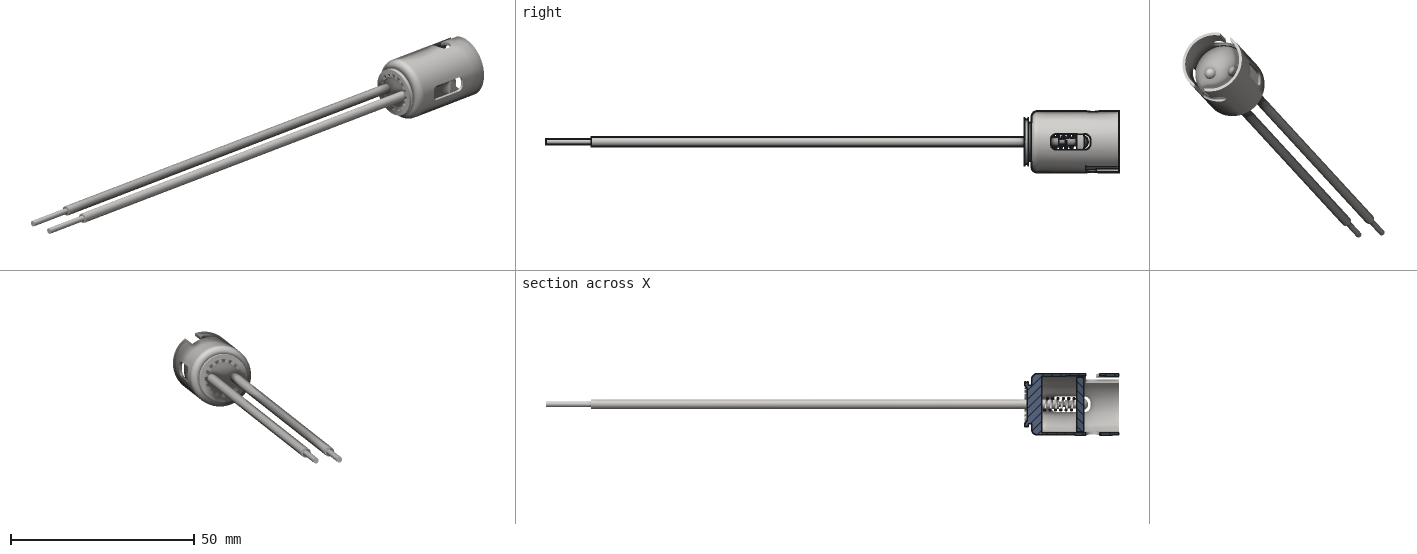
import cadquery as cq
import math

OVERALL_LENGTH = 156.5

HOUSING_RADIUS = 8.5
BORE_RADIUS = 7.7
BORE_DEPTH = 21.0
BASE_DEPTH = 24.0
BASE_FILLET = 1.7

NECK_RADIUS = 5.3
FLANGE_RADIUS = 6.5
FLANGE_GROOVE_RADIUS = 6.1
FLANGE_FRONT_DEPTH = 24.7
FLANGE_BACK_DEPTH = 25.8

RECESS_FLOOR_RADIUS = 4.4
RECESS_MOUTH_RADIUS = 5.3
RECESS_DEPTH = 0.6
RIB_COUNT = 16
RIB_WIDTH = 1.0

PIN_HOLE_RADIUS = 1.9
PIN_HOLE_DEPTH = 7.2
BAYONET_WIDTH = 2.8
BAYONET_OFFSET = 3.6
BAYONET_FOOT_DEPTH = PIN_HOLE_DEPTH + PIN_HOLE_RADIUS

WINDOW_START_DEPTH = 7.8
WINDOW_END_DEPTH = 18.6
WINDOW_HEIGHT = 4.2
WINDOW_CORNER_RADIUS = 1.5

WIRE_OFFSET = 3.3
JACKET_RADIUS = 1.33
JACKET_START_DEPTH = 16.5
STRAND_RADIUS = 0.8
STRAND_TAIL = 12.4

CARRIER_RADIUS = 7.5
CARRIER_FRONT_DEPTH = 9.5
CARRIER_BACK_DEPTH = 11.6

DOME_RADIUS = 1.5
DOME_HEIGHT = 1.1
SLEEVE_RADIUS = 1.1
SLEEVE_END_DEPTH = 14.7
FLARE_RADIUS = 1.3
FLARE_LENGTH = 0.5
SOCKET_DEPTH = 11.7

SPRING_RADIUS = 1.5
SPRING_WIRE_RADIUS = 0.3
SPRING_TURNS = 6


def cylinder(radius, start_depth, end_depth, x=0.0):
    """Solid cylinder parallel to Y between two depths."""
    length = end_depth - start_depth
    start = cq.Vector(x, -start_depth, 0)
    return cq.Workplane(cq.Solid.makeCylinder(radius, length, start, cq.Vector(0, -1, 0)))


def bayonet_cutter():
    """J-shaped slot in the top wall: entry slot, foot and round pin seat."""
    entry = cq.Workplane().box(
        BAYONET_WIDTH, BAYONET_FOOT_DEPTH, HOUSING_RADIUS, centered=(True, False, False)
    ).translate((-BAYONET_OFFSET, -BAYONET_FOOT_DEPTH, 0))
    foot = cq.Workplane().box(
        BAYONET_OFFSET, BAYONET_WIDTH, HOUSING_RADIUS, centered=False
    ).translate((-BAYONET_OFFSET, -BAYONET_FOOT_DEPTH, 0))
    seat = cq.Workplane().center(0, -PIN_HOLE_DEPTH).circle(PIN_HOLE_RADIUS).extrude(HOUSING_RADIUS)
    return entry.union(foot).union(seat)


def window_cutter():
    """Rounded rectangle running right through both side walls."""
    length = WINDOW_END_DEPTH - WINDOW_START_DEPTH
    middle_depth = (WINDOW_START_DEPTH + WINDOW_END_DEPTH) / 2
    bar = cq.Workplane().box(2 * HOUSING_RADIUS, length, WINDOW_HEIGHT)
    return bar.edges("|X").fillet(WINDOW_CORNER_RADIUS).translate((0, -middle_depth, 0))


def recess_cutter():
    """Tapered round recess, less the ribs that stand on its wall."""
    floor_depth = FLANGE_BACK_DEPTH - RECESS_DEPTH
    cutter = cq.Workplane(cq.Solid.makeCone(
        RECESS_FLOOR_RADIUS, RECESS_MOUTH_RADIUS, RECESS_DEPTH,
        cq.Vector(0, -floor_depth, 0), cq.Vector(0, -1, 0),
    ))
    rib_length = RECESS_MOUTH_RADIUS - RECESS_FLOOR_RADIUS
    rib = cq.Workplane().box(
        rib_length, RECESS_DEPTH, RIB_WIDTH, centered=(False, False, True)
    ).translate((RECESS_FLOOR_RADIUS, -FLANGE_BACK_DEPTH, 0))
    for index in range(RIB_COUNT):
        angle = (index + 0.5) * 360 / RIB_COUNT
        cutter = cutter.cut(rib.rotate((0, 0, 0), (0, 1, 0), angle))
    return cutter


def make_housing():
    groove_bottom = (FLANGE_GROOVE_RADIUS, -(FLANGE_FRONT_DEPTH + FLANGE_BACK_DEPTH) / 2)
    fillet_start_depth = BASE_DEPTH - BASE_FILLET
    fillet_middle = (
        HOUSING_RADIUS - BASE_FILLET * (1 - math.sqrt(0.5)),
        -(fillet_start_depth + BASE_FILLET * math.sqrt(0.5)),
    )
    housing = (
        cq.Workplane()
        .moveTo(0, -BORE_DEPTH)
        .lineTo(BORE_RADIUS, -BORE_DEPTH)
        .lineTo(BORE_RADIUS, 0)
        .lineTo(HOUSING_RADIUS, 0)
        .lineTo(HOUSING_RADIUS, -fillet_start_depth)
        .threePointArc(fillet_middle, (HOUSING_RADIUS - BASE_FILLET, -BASE_DEPTH))
        .lineTo(NECK_RADIUS, -BASE_DEPTH)
        .lineTo(NECK_RADIUS, -FLANGE_FRONT_DEPTH)
        .lineTo(FLANGE_RADIUS, -FLANGE_FRONT_DEPTH)
        .threePointArc(groove_bottom, (FLANGE_RADIUS, -FLANGE_BACK_DEPTH))
        .lineTo(0, -FLANGE_BACK_DEPTH)
        .close()
        .revolve(360, (0, 0, 0), (0, 1, 0))
    )
    slot = bayonet_cutter()
    housing = housing.cut(slot).cut(slot.rotate((0, 0, 0), (0, 1, 0), 180))
    housing = housing.cut(window_cutter()).cut(recess_cutter())
    for x in (-WIRE_OFFSET, WIRE_OFFSET):
        housing = housing.cut(cylinder(JACKET_RADIUS, BORE_DEPTH, FLANGE_BACK_DEPTH, x))
    return housing


def make_carrier():
    """Insulating disc that slides in the bore and holds both contacts."""
    carrier = cylinder(CARRIER_RADIUS, CARRIER_FRONT_DEPTH, CARRIER_BACK_DEPTH)
    for x in (-WIRE_OFFSET, WIRE_OFFSET):
        carrier = carrier.cut(cylinder(SLEEVE_RADIUS, CARRIER_FRONT_DEPTH, CARRIER_BACK_DEPTH, x))
    return carrier


def make_contact(x):
    """Domed head, sleeve through the carrier and flared end with a socket for the strand."""
    tip_depth = CARRIER_FRONT_DEPTH - DOME_HEIGHT
    flare_start_depth = SLEEVE_END_DEPTH - FLARE_LENGTH
    dome_sphere_radius = (DOME_RADIUS ** 2 + DOME_HEIGHT ** 2) / (2 * DOME_HEIGHT)
    half_angle = math.asin(DOME_RADIUS / dome_sphere_radius) / 2
    dome_middle = (
        dome_sphere_radius * math.sin(half_angle),
        -tip_depth - dome_sphere_radius * (1 - math.cos(half_angle)),
    )
    contact = (
        cq.Workplane()
        .moveTo(0, -tip_depth)
        .threePointArc(dome_middle, (DOME_RADIUS, -CARRIER_FRONT_DEPTH))
        .lineTo(SLEEVE_RADIUS, -CARRIER_FRONT_DEPTH)
        .lineTo(SLEEVE_RADIUS, -flare_start_depth)
        .lineTo(FLARE_RADIUS, -SLEEVE_END_DEPTH)
        .lineTo(STRAND_RADIUS, -SLEEVE_END_DEPTH)
        .lineTo(STRAND_RADIUS, -SOCKET_DEPTH)
        .lineTo(0, -SOCKET_DEPTH)
        .close()
        .revolve(360, (0, 0, 0), (0, 1, 0))
    )
    return contact.translate((x, 0, 0))


def make_wire(x):
    """Jacketed wire with bare strand at both ends."""
    jacket = cylinder(JACKET_RADIUS, JACKET_START_DEPTH, OVERALL_LENGTH - STRAND_TAIL, x)
    strand = cylinder(STRAND_RADIUS, SOCKET_DEPTH, OVERALL_LENGTH, x)
    return jacket.union(strand)


def make_spring():
    """Round-wire compression spring on the axis between carrier and housing floor."""
    start_depth = CARRIER_BACK_DEPTH + SPRING_WIRE_RADIUS
    length = BORE_DEPTH - SPRING_WIRE_RADIUS - start_depth
    path = cq.Wire.makeHelix(length / SPRING_TURNS, length, SPRING_RADIUS)
    spring = (
        cq.Workplane("XZ")
        .center(SPRING_RADIUS, 0)
        .circle(SPRING_WIRE_RADIUS)
        .sweep(cq.Workplane(path), isFrenet=True)
    )
    return spring.rotate((0, 0, 0), (1, 0, 0), 90).translate((0, -start_depth, 0))


housing = make_housing()
carrier = make_carrier()
spring = make_spring()
contacts = [make_contact(x) for x in (-WIRE_OFFSET, WIRE_OFFSET)]
wires = [make_wire(x) for x in (-WIRE_OFFSET, WIRE_OFFSET)]

result = cq.Compound.makeCompound([
    housing.val(),
    carrier.val(),
    spring.val(),
    *[contact.val() for contact in contacts],
    *[wire.val() for wire in wires],
])